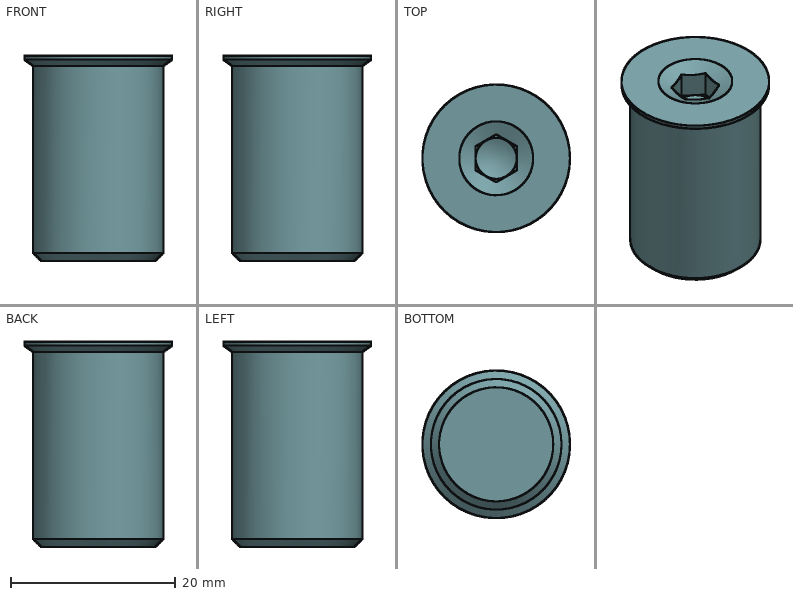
import cadquery as cq
import math

height = 25.0
flange_radius = 18.0 / 2
body_radius = 15.9 / 2
rim_height = 0.5
flange_height = 1.25
bottom_chamfer = 1.0

countersink_radius = 9.0 / 2
countersink_slope = 25.0
hex_across_flats = 5.02
socket_depth = 4.0
dome_radius = 5.0 / 2
dome_depth = 0.68


def make_body():
    """Flanged cylinder, turned about Z from its half section."""
    return (
        cq.Workplane("XZ")
        .moveTo(0, 0)
        .lineTo(body_radius - bottom_chamfer, 0)
        .lineTo(body_radius, bottom_chamfer)
        .lineTo(body_radius, height - flange_height)
        .lineTo(flange_radius, height - rim_height)
        .lineTo(flange_radius, height)
        .lineTo(0, height)
        .close()
        .revolve(360, (0, 0, 0), (0, 1, 0))
    )


def make_countersink():
    """Shallow cone leading into the socket, ending at its axis."""
    depth = countersink_radius * math.tan(math.radians(countersink_slope))
    tip = cq.Vector(0, 0, height - depth)
    return cq.Workplane(cq.Solid.makeCone(0, countersink_radius, depth, pnt=tip))


def make_socket():
    """Hexagonal pocket with two flats facing +X and -X."""
    across_corners = hex_across_flats / math.cos(math.pi / 6)
    return (
        cq.Workplane("XY", origin=(0, 0, height - socket_depth))
        .transformed(rotate=(0, 0, 90))
        .polygon(6, across_corners)
        .extrude(socket_depth)
    )


def make_dome():
    """Shallow spherical recess below the socket floor."""
    sphere_radius = (dome_radius**2 + dome_depth**2) / (2 * dome_depth)
    sphere_center = height - socket_depth - dome_depth + sphere_radius
    sphere = cq.Workplane("XY", origin=(0, 0, sphere_center)).sphere(sphere_radius)
    floor = cq.Workplane("XY", origin=(0, 0, height - socket_depth))
    envelope = floor.circle(dome_radius).extrude(-dome_depth)
    return sphere.intersect(envelope)


result = make_body().cut(make_countersink()).cut(make_socket()).cut(make_dome())